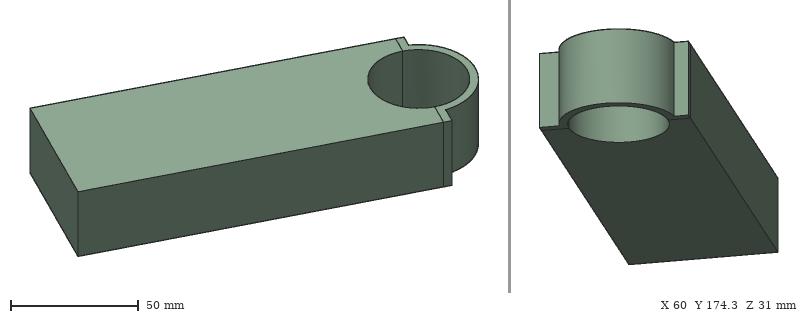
import cadquery as cq

width = 60.0
height = 31.0
total_length = 174.3
bore_diameter = 40.0
strap_thickness = 3.5
bore_offset_x = -1.0

bore_radius = bore_diameter / 2
strap_radius = bore_radius + strap_thickness
block_length = total_length - strap_radius
block_center_x = -bore_offset_x


def make_bore():
    """Cylinder removed from both bodies, centred on their parting plane."""
    return cq.Workplane("XY").circle(bore_radius).extrude(height)


def make_slab(length):
    """Full-width slab running from the parting plane toward +Y."""
    return cq.Workplane("XY").box(width, length, height, centered=(True, False, False)).translate(
        (block_center_x, 0, 0)
    )


def make_block():
    """Long block with half of the bore in its +Y end."""
    return make_slab(block_length).translate((0, -block_length, 0)).cut(make_bore())


def make_strap():
    """Half-round clamp strap with a flat ear on each side."""
    arch = (
        cq.Workplane("XY")
        .moveTo(-strap_radius, 0)
        .threePointArc((0, strap_radius), (strap_radius, 0))
        .close()
        .extrude(height)
    )
    return make_slab(strap_thickness).union(arch).cut(make_bore())


block = make_block()
strap = make_strap()

result = cq.Compound.makeCompound([block.solids().val(), strap.solids().val()])